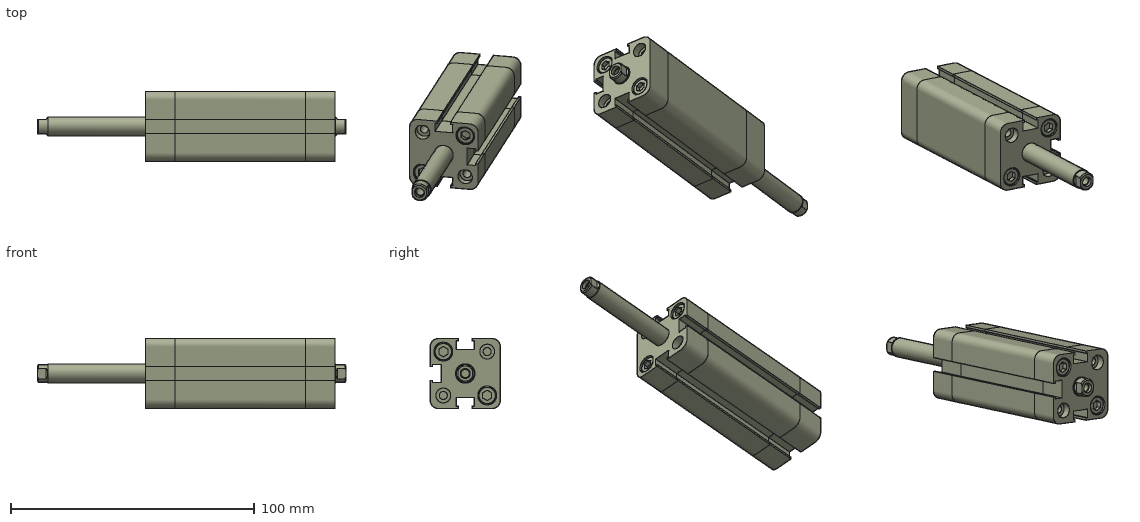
import cadquery as cq
import math


HOUSING_WIDTH = 29.0
CORNER_RADIUS = 3.5
SLOT_MOUTH_WIDTH = 5.7
SLOT_WIDTH = 7.4
SLOT_DEPTH = 4.6
SLOT_LIP = 1.0
SLOT_SIDE_ANGLES = (0, 90, 180)

CAP_LENGTH = 12.2
BARREL_LENGTH = 53.6
HOUSING_LENGTH = BARREL_LENGTH + 2 * CAP_LENGTH

CORNER_OFFSET = 9.0
MOUNT_BORE_DIAMETER = 6.1
MOUNT_BORE_DEPTH = 3.4
MOUNT_HOLE_DIAMETER = 3.3
HEAD_DIAMETER = 7.7
HEAD_CHAMFER = 0.5
HEAD_SINK = 0.5
SOCKET_ACROSS_FLATS = 3.7
SOCKET_DEPTH = 2.0

ROD_DIAMETER = 8.0
ROD_LENGTH = 127.0
ROD_FRONT_REACH = 44.5
TIP_LENGTH = 4.3
TIP_DIAMETER = 7.4
TIP_ACROSS_FLATS = 6.0
TIP_CHAMFER = 0.5
FLAT_LENGTH = 3.5
THREAD_HOLE_DIAMETER = 3.4
THREAD_HOLE_DEPTH = 10.2
THREAD_BORE_DIAMETER = 4.1
THREAD_BORE_DEPTH = 1.7


def cylinder(start, length, diameter, y=0, z=0):
    """Cylinder along +X from X = start, centred on (y, z)."""
    base = cq.Workplane("YZ", origin=(start, y, z))
    return base.circle(diameter / 2).extrude(length)


def cone(start, length, start_diameter, end_diameter, y=0, z=0):
    """Truncated cone along +X from X = start, centred on (y, z)."""
    solid = cq.Solid.makeCone(
        start_diameter / 2, end_diameter / 2, length, cq.Vector(start, y, z), cq.Vector(1, 0, 0)
    )
    return cq.Workplane(obj=solid)


def slot_cutter(start, length):
    """Undercut slot in the top face: a narrow mouth above a wider channel."""
    top = HOUSING_WIDTH / 2
    channel_height = SLOT_DEPTH - SLOT_LIP
    mouth = cq.Workplane("XY").box(length, SLOT_MOUTH_WIDTH, SLOT_DEPTH, centered=(False, True, False))
    channel = cq.Workplane("XY").box(length, SLOT_WIDTH, channel_height, centered=(False, True, False))
    return mouth.union(channel).translate((start, 0, top - SLOT_DEPTH))


def housing_section(start, length):
    """Length of slotted housing profile with a bore that fits the rod."""
    profile = cq.Workplane("YZ", origin=(start, 0, 0)).rect(HOUSING_WIDTH, HOUSING_WIDTH)
    section = profile.extrude(length).edges("|X").fillet(CORNER_RADIUS)
    for angle in SLOT_SIDE_ANGLES:
        section = section.cut(slot_cutter(start, length).rotate((0, 0, 0), (1, 0, 0), angle))
    return section.cut(cylinder(start, length, ROD_DIAMETER))


def mounting_hole_cutter(y, z):
    """Hole through the cap, counterbored from its outer face."""
    hole = cylinder(0, CAP_LENGTH, MOUNT_HOLE_DIAMETER, y, z)
    return hole.union(cylinder(0, MOUNT_BORE_DEPTH, MOUNT_BORE_DIAMETER, y, z))


def screw_head_cutter(y, z):
    """Sunken hexagon socket head: the recess above it, its chamfered rim and its socket."""
    recess = cylinder(0, HEAD_SINK + HEAD_CHAMFER, HEAD_DIAMETER, y, z)
    head_rim = cone(HEAD_SINK, HEAD_CHAMFER, HEAD_DIAMETER - 2 * HEAD_CHAMFER, HEAD_DIAMETER, y, z)
    across_corners = SOCKET_ACROSS_FLATS / math.cos(math.pi / 6)
    socket = cq.Workplane("YZ").polygon(6, across_corners).extrude(HEAD_SINK + SOCKET_DEPTH)
    socket = socket.rotate((0, 0, 0), (1, 0, 0), 90).translate((0, y, z))
    return recess.cut(head_rim).union(socket)


def make_front_cap():
    cap = housing_section(0, CAP_LENGTH)
    for side in (1, -1):
        offset = side * CORNER_OFFSET
        cap = cap.cut(mounting_hole_cutter(offset, offset))
        cap = cap.cut(screw_head_cutter(-offset, offset))
    return cap


def make_rear_cap():
    """Mirror image of the front cap at the other end of the barrel."""
    return make_front_cap().mirror("YZ").translate((HOUSING_LENGTH, 0, 0))


def make_barrel():
    return housing_section(CAP_LENGTH, BARREL_LENGTH)


def tip_flat_cutter():
    """Cutter for the flat on the +Y side of the front tip, ending in a 45 degree runout."""
    inner = TIP_ACROSS_FLATS / 2
    outer = TIP_DIAMETER / 2
    runout_end = FLAT_LENGTH + outer - inner
    outline = [(0, inner), (FLAT_LENGTH, inner), (runout_end, outer), (0, outer)]
    return cq.Workplane("XY").polyline(outline).close().extrude(TIP_DIAMETER / 2, both=True)


def thread_hole_cutter():
    """Blind hole into the front tip, with a short wider bore at its mouth."""
    mouth = cylinder(0, THREAD_BORE_DEPTH, THREAD_BORE_DIAMETER)
    return cylinder(0, THREAD_HOLE_DEPTH, THREAD_HOLE_DIAMETER).union(mouth)


def make_rod():
    """Rod with the same stepped, flatted and drilled tip at both ends."""
    rod = cylinder(0, ROD_LENGTH, TIP_DIAMETER).faces("<X or >X").chamfer(TIP_CHAMFER)
    rod = rod.union(cylinder(TIP_LENGTH, ROD_LENGTH - 2 * TIP_LENGTH, ROD_DIAMETER))

    flat = tip_flat_cutter()
    front_cutters = (flat, flat.mirror("XZ"), thread_hole_cutter())
    for cutter in front_cutters:
        rod = rod.cut(cutter)
        rod = rod.cut(cutter.mirror("YZ").translate((ROD_LENGTH, 0, 0)))
    return rod.translate((-ROD_FRONT_REACH, 0, 0))


front_cap = make_front_cap()
barrel = make_barrel()
rear_cap = make_rear_cap()
rod = make_rod()

bodies = (front_cap, barrel, rear_cap, rod)
result = cq.Compound.makeCompound([body.solids().val() for body in bodies])